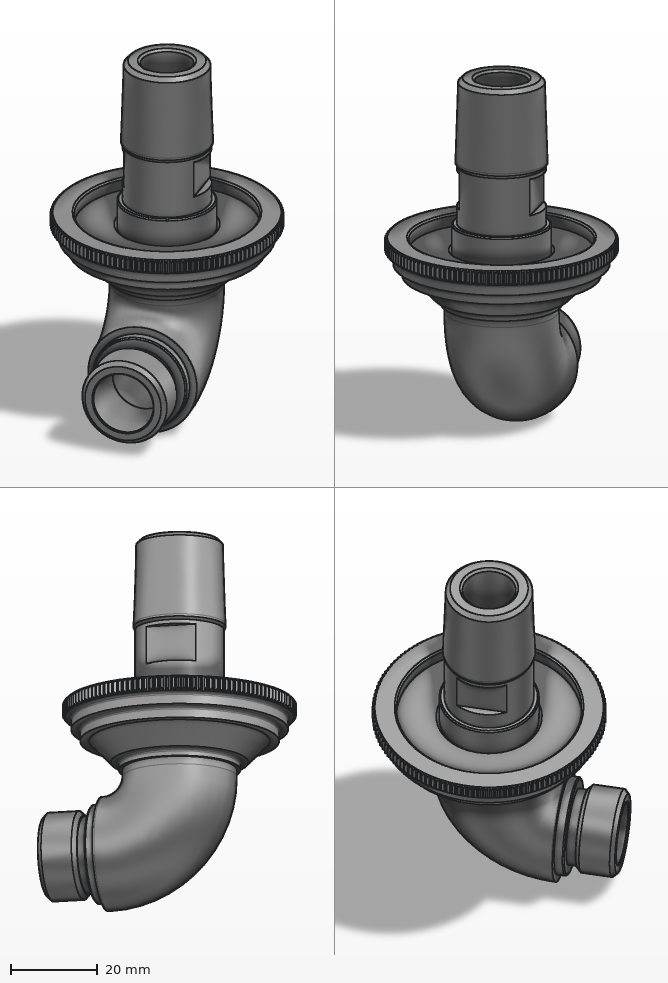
import cadquery as cq
import math


OVERALL_HEIGHT = 86.75
ELBOW_RADIUS = 13.3
BEND_RADIUS = 17.3
ELBOW_END = 17.6
OUTLET_BORE_RADIUS = 7.3
INLET_BORE_RADIUS = 6.2
COLLAR_RADIUS = 11.5

TOP_Z = OVERALL_HEIGHT - ELBOW_RADIUS
SHOULDER_Z = TOP_Z - 54.5

TAPER_TOP_RADIUS = 10.1
TAPER_BOTTOM_RADIUS = 10.7
TAPER_LENGTH = 19.9
TAPER_BAND_HEIGHT = 0.6
STEM_RADIUS = 10.3
STEM_TOP_DROP = 21.2
INLET_END_CHAMFER = 1.0
INLET_BORE_CHAMFER = 0.6
COLLAR_TOP_Z = TOP_Z - 35.1
COLLAR_CHAMFER = 0.35
FLATS_WIDTH = 17.0
FLATS_TOP_Z = TOP_Z - 22.1
FLATS_HEIGHT = 8.8

KNURL_TIP_RADIUS = 27.0
KNURL_ROOT_RADIUS = 26.4
TOOTH_COUNT = 128
TOOTH_ANGLE_SHARE = 0.7
RIM_TOP_Z = TOP_Z - 38.5
RIM_HEIGHT = 3.5
UPPER_STEP_RADIUS = 25.1
UPPER_STEP_HEIGHT = 2.9
LOWER_STEP_RADIUS = 23.0
LOWER_STEP_HEIGHT = 2.8
STEP_FILLET = 0.7
CONE_TOP_RADIUS = 20.9
CONE_BOTTOM_RADIUS = 15.9
NECK_RADIUS = 14.05
NECK_HEIGHT = 1.8
RECESS_RADIUS = 21.4
RECESS_DEPTH = 3.0
RECESS_CHAMFER = 0.4
HOLE_CHAMFER = 0.7

OUTLET_COLLAR_LENGTH = 2.3
OUTLET_COLLAR_CHAMFER = 0.35
GROOVE_RADIUS = 8.9
GROOVE_LENGTH = 2.25
THREAD_RADIUS = 10.3
OUTLET_END_CHAMFER = 1.0
OUTLET_BORE_CHAMFER = 0.3
OUTLET_REACH = 31.5


def inlet_nipple():
    """Tapered pipe nipple with two wrench flats and a collar at its foot."""
    body = (
        cq.Workplane("XZ")
        .moveTo(INLET_BORE_RADIUS, SHOULDER_Z)
        .lineTo(COLLAR_RADIUS, SHOULDER_Z)
        .lineTo(COLLAR_RADIUS, COLLAR_TOP_Z - COLLAR_CHAMFER)
        .lineTo(COLLAR_RADIUS - COLLAR_CHAMFER, COLLAR_TOP_Z)
        .lineTo(STEM_RADIUS, COLLAR_TOP_Z)
        .lineTo(STEM_RADIUS, TOP_Z - STEM_TOP_DROP)
        .lineTo(TAPER_BOTTOM_RADIUS, TOP_Z - TAPER_LENGTH - TAPER_BAND_HEIGHT)
        .lineTo(TAPER_BOTTOM_RADIUS, TOP_Z - TAPER_LENGTH)
        .lineTo(TAPER_TOP_RADIUS, TOP_Z - INLET_END_CHAMFER)
        .lineTo(TAPER_TOP_RADIUS - INLET_END_CHAMFER, TOP_Z)
        .lineTo(INLET_BORE_RADIUS + INLET_BORE_CHAMFER, TOP_Z)
        .lineTo(INLET_BORE_RADIUS, TOP_Z - INLET_BORE_CHAMFER)
        .close()
        .revolve(360, (0, 0), (0, 1))
    )
    flat_depth = STEM_RADIUS
    for side in (-1, 1):
        flat_cut = cq.Workplane("XY").box(flat_depth, 2 * COLLAR_RADIUS, FLATS_HEIGHT)
        flat_x = side * (FLATS_WIDTH + flat_depth) / 2
        body = body.cut(flat_cut.translate((flat_x, 0, FLATS_TOP_Z - FLATS_HEIGHT / 2)))
    return body


def knurled_rim():
    """Disc with straight pointed teeth whose tips are chamfered at both faces."""
    pitch = 2 * math.pi / TOOTH_COUNT
    half_foot = TOOTH_ANGLE_SHARE * pitch / 2

    def polar(radius, angle):
        return (radius * math.cos(angle), radius * math.sin(angle))

    outline = []
    for tooth in range(TOOTH_COUNT):
        middle = (tooth + 0.5) * pitch
        outline.append(polar(KNURL_ROOT_RADIUS, middle - half_foot))
        outline.append(polar(KNURL_TIP_RADIUS, middle))
        outline.append(polar(KNURL_ROOT_RADIUS, middle + half_foot))

    rim_bottom_z = RIM_TOP_Z - RIM_HEIGHT
    toothed = cq.Workplane("XY", origin=(0, 0, rim_bottom_z)).polyline(outline).close().extrude(RIM_HEIGHT)
    envelope = (
        cq.Workplane("XY", origin=(0, 0, rim_bottom_z))
        .circle(KNURL_TIP_RADIUS)
        .extrude(RIM_HEIGHT)
        .edges()
        .chamfer(KNURL_TIP_RADIUS - KNURL_ROOT_RADIUS)
    )
    return toothed.intersect(envelope)


def fillet_step(profile, radius, z):
    """Go along a horizontal face to a wall of the given radius, with a concave fillet between."""
    bulge = STEP_FILLET * (1 - math.sqrt(0.5))
    return (
        profile.lineTo(radius + STEP_FILLET, z)
        .threePointArc((radius + bulge, z - bulge), (radius, z - STEP_FILLET))
    )


def rosette():
    """Knurled rim, two steps, a cone and a neck, around the collar of the inlet nipple."""
    upper_z = RIM_TOP_Z - RIM_HEIGHT
    lower_z = upper_z - UPPER_STEP_HEIGHT
    cone_top_z = lower_z - LOWER_STEP_HEIGHT
    neck_z = SHOULDER_Z + NECK_HEIGHT
    floor_z = RIM_TOP_Z - RECESS_DEPTH

    profile = cq.Workplane("XZ").moveTo(0, SHOULDER_Z).lineTo(0, upper_z)
    profile = fillet_step(profile, UPPER_STEP_RADIUS, upper_z).lineTo(UPPER_STEP_RADIUS, lower_z)
    profile = fillet_step(profile, LOWER_STEP_RADIUS, lower_z).lineTo(LOWER_STEP_RADIUS, cone_top_z)
    profile = profile.lineTo(CONE_TOP_RADIUS, cone_top_z).lineTo(CONE_BOTTOM_RADIUS, neck_z)
    profile = fillet_step(profile, NECK_RADIUS, neck_z).lineTo(NECK_RADIUS, SHOULDER_Z)
    body = profile.close().revolve(360, (0, 0), (0, 1)).union(knurled_rim())

    opening = (
        cq.Workplane("XZ")
        .moveTo(0, SHOULDER_Z)
        .lineTo(COLLAR_RADIUS, SHOULDER_Z)
        .lineTo(COLLAR_RADIUS, floor_z - HOLE_CHAMFER)
        .lineTo(COLLAR_RADIUS + HOLE_CHAMFER, floor_z)
        .lineTo(RECESS_RADIUS, floor_z)
        .lineTo(RECESS_RADIUS, RIM_TOP_Z - RECESS_CHAMFER)
        .lineTo(RECESS_RADIUS + RECESS_CHAMFER, RIM_TOP_Z)
        .lineTo(0, RIM_TOP_Z)
        .close()
        .revolve(360, (0, 0), (0, 1))
    )
    return body.cut(opening)


def elbow():
    """Round bent pipe from the shoulder down and forward to the outlet face."""
    path = (
        cq.Workplane("YZ")
        .moveTo(0, SHOULDER_Z)
        .lineTo(0, BEND_RADIUS)
        .radiusArc((-BEND_RADIUS, 0), BEND_RADIUS)
        .lineTo(-ELBOW_END, 0)
    )
    return (
        cq.Workplane("XY", origin=(0, 0, SHOULDER_Z))
        .circle(ELBOW_RADIUS)
        .circle(OUTLET_BORE_RADIUS)
        .sweep(path)
    )


def outlet_nipple():
    """Collar, groove and chamfered threaded end in front of the elbow."""
    collar_end = ELBOW_END + OUTLET_COLLAR_LENGTH
    groove_end = collar_end + GROOVE_LENGTH
    thread_foot_radius = THREAD_RADIUS - OUTLET_END_CHAMFER
    return (
        cq.Workplane("XY")
        .moveTo(OUTLET_BORE_RADIUS, -ELBOW_END)
        .lineTo(COLLAR_RADIUS, -ELBOW_END)
        .lineTo(COLLAR_RADIUS, -collar_end + OUTLET_COLLAR_CHAMFER)
        .lineTo(COLLAR_RADIUS - OUTLET_COLLAR_CHAMFER, -collar_end)
        .lineTo(GROOVE_RADIUS, -collar_end)
        .lineTo(GROOVE_RADIUS, -groove_end)
        .lineTo(thread_foot_radius, -groove_end)
        .lineTo(THREAD_RADIUS, -groove_end - OUTLET_END_CHAMFER)
        .lineTo(THREAD_RADIUS, -OUTLET_REACH + OUTLET_END_CHAMFER)
        .lineTo(THREAD_RADIUS - OUTLET_END_CHAMFER, -OUTLET_REACH)
        .lineTo(OUTLET_BORE_RADIUS + OUTLET_BORE_CHAMFER, -OUTLET_REACH)
        .lineTo(OUTLET_BORE_RADIUS, -OUTLET_REACH + OUTLET_BORE_CHAMFER)
        .close()
        .revolve(360, (0, 0), (0, 1))
    )


result = cq.Compound.makeCompound(
    [inlet_nipple().val(), rosette().val(), elbow().val(), outlet_nipple().val()]
)